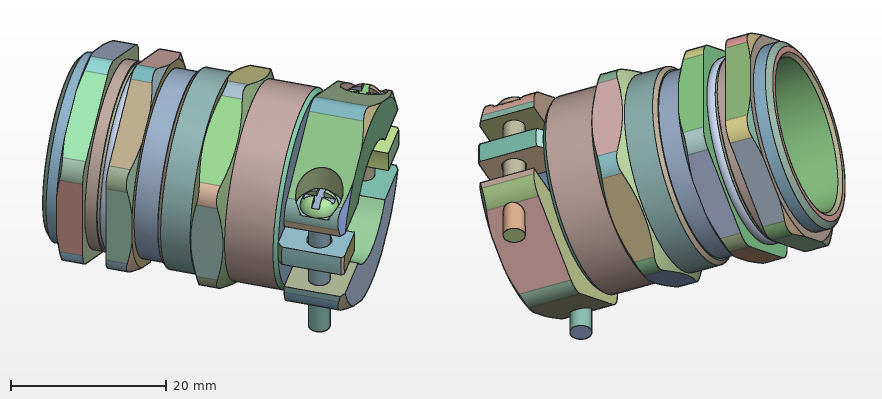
import cadquery as cq
import math


length = 40.7
across_flats = 27.0
hex_corner_radius = 3.0
hex_chamfer_slope = math.tan(math.radians(30))

thread_dia = 25.0
thread_end = 15.65
thread_chamfer_length = 0.7
thread_chamfer_height = 0.8
bore_dia = 20.8
bore_depth = 7.53
bore_chamfer = 0.5

locknut_start = 2.35
locknut_end = 5.85
locknut_chamfer_dia = 27.68
locknut_chamfer_length = 0.75

groove_start = 7.45
groove_dia = 24.5
seal_dia = thread_dia
seal_section_radius = 0.95
seal_center = 8.45

gland_hex_start = 8.95
gland_hex_end = 12.45
hex_chamfer_dia = 27.35

cap_dia = 26.5
cap_end = 31.75
cap_chamfer = 0.53
cap_hex_start = 20.15
cap_hex_end = 24.75

clamp_bore_dia = 16.5
jaw_start = 32.75
jaw_inner_height = 5.1
tab_thickness = 2.95
tab_outer_dia = across_flats
tab_root_chamfer = 0.7
tab_end_chamfer = 0.33
relief_groove_radius = 0.45

screw_x = 36.7
screw_y = 10.75
screw_dia = 2.85
screw_hole_dia = 3.2
screw_bottom = -12.95
head_dia = 4.95
head_seat = 7.25
head_top = 9.28
counterbore_dia = 6.1
slot_width = 1.0
slot_floor = 8.4

screw_places = [(screw_x, -screw_y), (screw_x, screw_y)]
hex_sharp_radius = across_flats / math.sqrt(3)


def turned(profile):
    """Solid of revolution about the X axis from (x, radius) points."""
    return cq.Workplane("XY").polyline(profile).close().revolve(360, (0, 0, 0), (1, 0, 0))


def x_cylinder(diameter, start, end):
    return cq.Workplane("YZ").workplane(offset=start).circle(diameter / 2).extrude(end - start)


def z_cylinders(diameter, bottom, top):
    """One upright cylinder at each screw position."""
    plane = cq.Workplane("XY").workplane(offset=bottom)
    return plane.pushPoints(screw_places).circle(diameter / 2).extrude(top - bottom)


def level_slab(thickness):
    """Slab centred on the axis plane, wider and longer than the clamp."""
    slab = cq.Workplane("XY").box(length, 2 * across_flats, thickness)
    return slab.translate((jaw_start, 0, 0))


def hexagon(start, end):
    """Hexagonal prism along X with rounded corners."""
    prism = cq.Workplane("YZ").workplane(offset=start).polygon(6, 2 * hex_sharp_radius).extrude(end - start)
    return prism.rotate((0, 0, 0), (1, 0, 0), 90).edges("|X").fillet(hex_corner_radius)


def chamfered_hexagon(start, end, start_dia=None, end_dia=None, slope=hex_chamfer_slope):
    """Hexagon whose corners are turned down to start_dia and end_dia at its two faces."""
    outer = hex_sharp_radius
    profile = [(start, 0)]
    if start_dia:
        profile += [(start, start_dia / 2), (start + slope * (outer - start_dia / 2), outer)]
    else:
        profile += [(start, outer)]
    if end_dia:
        profile += [(end - slope * (outer - end_dia / 2), outer), (end, end_dia / 2)]
    else:
        profile += [(end, outer)]
    profile += [(end, 0)]
    return hexagon(start, end).intersect(turned(profile))


def make_barrel():
    """Threaded entry with seal groove, and the cap behind it."""
    thread_radius = thread_dia / 2
    cap_radius = cap_dia / 2
    return turned(
        [
            (0, 0),
            (0, thread_radius - thread_chamfer_height),
            (thread_chamfer_length, thread_radius),
            (groove_start, thread_radius),
            (groove_start, groove_dia / 2),
            (gland_hex_start, groove_dia / 2),
            (gland_hex_start, thread_radius),
            (thread_end, thread_radius),
            (thread_end, cap_radius - cap_chamfer),
            (thread_end + cap_chamfer, cap_radius),
            (cap_end - cap_chamfer, cap_radius),
            (cap_end, cap_radius - cap_chamfer),
            (cap_end, 0),
        ]
    )


def make_entry_bore():
    radius = bore_dia / 2
    return turned(
        [(0, 0), (0, radius + bore_chamfer), (bore_chamfer, radius), (bore_depth, radius), (bore_depth, 0)]
    )


def x_torus(center_x, ring_radius, section_radius):
    """Ring of round section about the X axis."""
    section = cq.Workplane("XY").center(center_x, ring_radius).circle(section_radius)
    return section.revolve(360, (0, -ring_radius, 0), (1, -ring_radius, 0))


def make_tabs():
    """Side tabs on the cap face: two pieces of a turned collar, with clearance holes for the screws."""
    outer = tab_outer_dia / 2
    inner = clamp_bore_dia / 2
    collar = turned(
        [
            (cap_end, inner),
            (cap_end, outer - tab_root_chamfer),
            (cap_end + tab_root_chamfer, outer),
            (length - tab_end_chamfer, outer),
            (length, outer - tab_end_chamfer),
            (length, inner),
        ]
    )
    collar = collar.cut(x_torus((cap_end + jaw_start) / 2, inner, relief_groove_radius))
    tabs = collar.intersect(level_slab(tab_thickness))
    return tabs.cut(z_cylinders(screw_hole_dia, -tab_thickness, tab_thickness))


def make_gland():
    locknut_slope = locknut_chamfer_length / (hex_sharp_radius - locknut_chamfer_dia / 2)
    gland = make_barrel()
    gland = gland.union(
        chamfered_hexagon(locknut_start, locknut_end, start_dia=locknut_chamfer_dia, slope=locknut_slope)
    )
    gland = gland.union(chamfered_hexagon(gland_hex_start, gland_hex_end, end_dia=hex_chamfer_dia))
    gland = gland.union(chamfered_hexagon(cap_hex_start, cap_hex_end, start_dia=cap_dia, end_dia=cap_dia))
    seal_ring_radius = seal_dia / 2 - seal_section_radius
    gland = gland.union(x_torus(seal_center, seal_ring_radius, seal_section_radius))
    gland = gland.cut(make_entry_bore())
    return gland.union(make_tabs())


def make_screw_heads():
    """Elliptical domes with a cross slot, one for each screw."""
    radius = head_dia / 2
    height = head_top - head_seat
    half_section = cq.Workplane("XZ").moveTo(radius, 0).ellipseArc(radius, height, 0, 90, startAtCurrent=True)
    dome = half_section.lineTo(0, 0).close().revolve(360, (0, 0, 0), (0, 1, 0))
    head = dome.translate((0, 0, head_seat))
    slot_plane = cq.Workplane("XY").workplane(offset=slot_floor)
    for slot_size in [(head_dia, slot_width), (slot_width, head_dia)]:
        head = head.cut(slot_plane.rect(*slot_size).extrude(head_top - slot_floor))
    return [head.translate((x, y, 0)) for x, y in screw_places]


def make_clamp():
    """Upper and lower jaws joined by the two clamp screws."""
    clamp = chamfered_hexagon(jaw_start, length, end_dia=hex_chamfer_dia)
    clamp = clamp.cut(x_cylinder(clamp_bore_dia, jaw_start, length))
    clamp = clamp.cut(level_slab(2 * jaw_inner_height))
    clamp = clamp.cut(z_cylinders(counterbore_dia, head_seat, across_flats))
    clamp = clamp.union(z_cylinders(screw_dia, screw_bottom, head_seat))
    for head in make_screw_heads():
        clamp = clamp.union(head)
    return clamp


gland = make_gland()
clamp = make_clamp()
result = cq.Compound.makeCompound([gland.val(), clamp.val()])